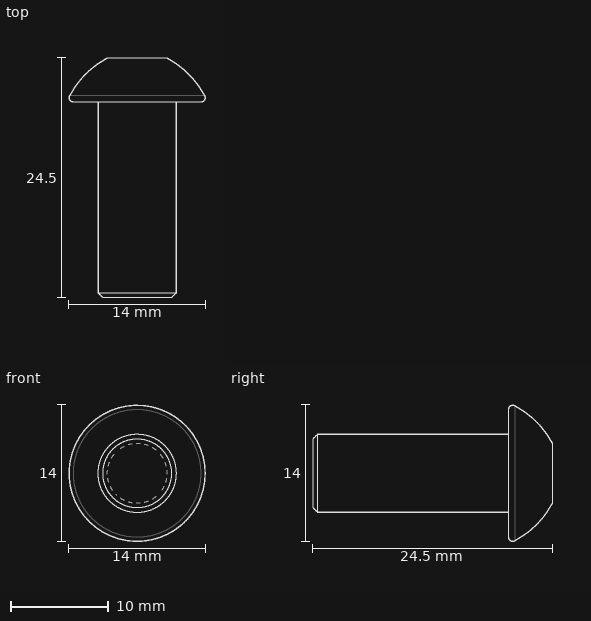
import cadquery as cq
import math

total_length = 24.5
head_height = 4.5
head_diameter = 13.95
shank_diameter = 8.0

crown_diameter = 6.12
rim_radius = 0.45
rim_top_angle = 28.0

tip_chamfer = 0.5

shank_length = total_length - head_height
head_radius = head_diameter / 2
crown_radius = crown_diameter / 2
shank_radius = shank_diameter / 2


def rim_point(angle):
    """Point of the rim arc (radius, Y) at an angle in degrees above horizontal."""
    return (
        head_radius - rim_radius + rim_radius * math.cos(math.radians(angle)),
        shank_length + rim_radius + rim_radius * math.sin(math.radians(angle)),
    )


def make_head():
    """Domed head, revolved from its half profile (radius, Y)."""
    rim_bottom_angle = -90
    rim_middle_angle = (rim_bottom_angle + rim_top_angle) / 2
    return (
        cq.Workplane("XY")
        .moveTo(0, shank_length)
        .lineTo(*rim_point(rim_bottom_angle))
        .threePointArc(rim_point(rim_middle_angle), rim_point(rim_top_angle))
        .tangentArcPoint((crown_radius, total_length), relative=False)
        .lineTo(0, total_length)
        .close()
        .revolve(360, (0, 0), (0, 1))
    )


def make_shank():
    """Plain shank with a chamfered tip at Y = 0."""
    return (
        cq.Workplane("XZ")
        .circle(shank_radius)
        .extrude(-shank_length)
        .faces("<Y")
        .chamfer(tip_chamfer)
    )


result = make_head().union(make_shank())